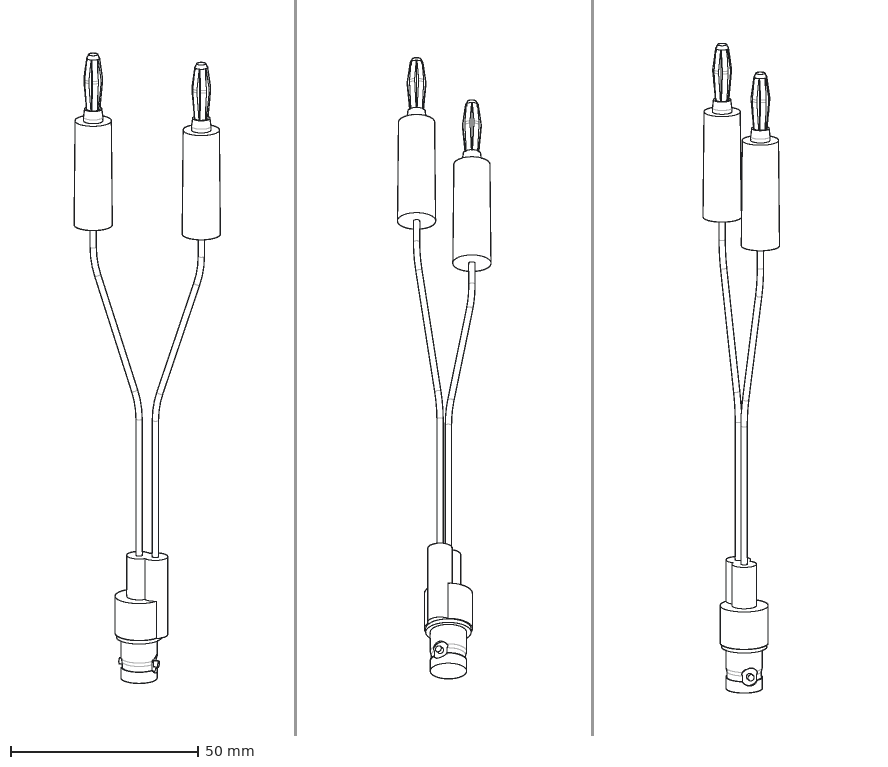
import cadquery as cq
import math

connector_top = 34.5
sleeve_bottom = 126.0
sleeve_top = 155.3
plug_top = 173.9

plug_offset = 15.0
wire_offset = 2.3

barrel_diameter = 9.7
barrel_height = 11.5
groove_depth = 0.26
groove_bottom = 3.1
groove_floor_top = 4.7
groove_top = 5.7
flange_diameter = 12.2
body_diameter = 12.9
body_bottom = 12.5
body_top = 23.0
boot_diameter = 6.6

stud_diameter = 1.7
stud_span = 10.8
stud_height = 4.3
spot_face_diameter = 4.9
spot_face_span = 8.3

wire_diameter = 1.7
upper_corner = 115.8
lower_corner = 76.7
bend_tangent = 4.0

sleeve_bottom_diameter = 10.3
sleeve_top_diameter = 9.7

collar_diameter = 5.2
collar_rim_height = 1.0
shoulder_diameter = 4.7
leaf_bottom = 158.6
leaf_top = 172.9
ridge_bottom = 166.5
ridge_top = 167.1
leaf_bottom_diameter = 3.7
leaf_top_diameter = 3.5
ridge_diameter = 5.0
tip_diameter = 2.5
core_diameter = 2.8
leaf_width = 1.5
leaf_count = 6


def revolve_profile(points):
    """Solid of revolution about Z from (radius, height) points."""
    return cq.Workplane("XZ").polyline(points).close().revolve(360, (0, 0), (0, 1))


def cylinder(diameter, bottom, top):
    return cq.Workplane("XY").workplane(offset=bottom).circle(diameter / 2).extrude(top - bottom)


def x_cylinder(diameter, start, end, height):
    """Cylinder along X at the given height."""
    start_plane = cq.Workplane("YZ", origin=(start, 0, height))
    return start_plane.circle(diameter / 2).extrude(end - start)


def make_barrel():
    radius = barrel_diameter / 2
    groove_radius = radius - groove_depth
    barrel = revolve_profile([
        (0, 0),
        (radius, 0),
        (radius, groove_bottom),
        (groove_radius, groove_bottom),
        (groove_radius, groove_floor_top),
        (radius, groove_top),
        (radius, barrel_height),
        (0, barrel_height),
    ])
    for side in (-1, 1):
        face_x = side * spot_face_span / 2
        stud_end = side * stud_span / 2
        barrel = barrel.cut(x_cylinder(spot_face_diameter, face_x, stud_end, stud_height))
    return barrel.union(x_cylinder(stud_diameter, -stud_span / 2, stud_span / 2, stud_height))


def make_connector():
    """The barrel, flange and body share the axis of the left wire; the boot wraps both wires."""
    flange = cylinder(flange_diameter, barrel_height, body_bottom)
    body = cylinder(body_diameter, body_bottom, body_top)
    connector = make_barrel().union(flange).union(body).translate((-wire_offset, 0, 0))
    for side in (-1, 1):
        boot = cylinder(boot_diameter, body_bottom, connector_top)
        connector = connector.union(boot.translate((side * wire_offset, 0, 0)))
    return connector


def make_wire(side):
    """Round wire swept from the boot, through two equal bends, to the plug sleeve."""
    lean = math.atan2(plug_offset - wire_offset, upper_corner - lower_corner)
    bend_x = bend_tangent * math.sin(lean)
    bend_z = bend_tangent * math.cos(lean)
    path = (
        cq.Workplane("XZ")
        .moveTo(side * wire_offset, connector_top)
        .lineTo(side * wire_offset, lower_corner - bend_tangent)
        .tangentArcPoint((side * (wire_offset + bend_x), lower_corner + bend_z), relative=False)
        .lineTo(side * (plug_offset - bend_x), upper_corner - bend_z)
        .tangentArcPoint((side * plug_offset, upper_corner + bend_tangent), relative=False)
        .lineTo(side * plug_offset, sleeve_bottom)
    )
    start = cq.Workplane("XY", origin=(side * wire_offset, 0, connector_top))
    return start.circle(wire_diameter / 2).sweep(path)


def make_sleeve(side):
    """Slightly tapered grip, wider at the wire end."""
    sleeve = revolve_profile([
        (0, sleeve_bottom),
        (sleeve_bottom_diameter / 2, sleeve_bottom),
        (sleeve_top_diameter / 2, sleeve_top),
        (0, sleeve_top),
    ])
    return sleeve.translate((side * plug_offset, 0, 0))


def make_leaves():
    """Spring leaves of constant width cut from a bowed solid of revolution."""
    bow = revolve_profile([
        (0, leaf_bottom),
        (leaf_bottom_diameter / 2, leaf_bottom),
        (ridge_diameter / 2, ridge_bottom),
        (ridge_diameter / 2, ridge_top),
        (leaf_top_diameter / 2, leaf_top),
        (0, leaf_top),
    ])
    strip = (
        cq.Workplane("XY")
        .workplane(offset=leaf_bottom)
        .rect(ridge_diameter, leaf_width)
        .extrude(leaf_top - leaf_bottom)
    )
    leaves = cylinder(core_diameter, leaf_bottom, leaf_top)
    for index in range(leaf_count // 2):
        angle = index * 360 / leaf_count
        leaves = leaves.union(bow.intersect(strip.rotate((0, 0, 0), (0, 0, 1), angle)))
    return leaves


def make_plug(side):
    rim_top = sleeve_top + collar_rim_height
    collar = revolve_profile([
        (0, sleeve_top),
        (collar_diameter / 2, sleeve_top),
        (collar_diameter / 2, rim_top),
        (shoulder_diameter / 2, leaf_bottom),
        (0, leaf_bottom),
    ])
    tip = revolve_profile([
        (0, leaf_top),
        (leaf_top_diameter / 2, leaf_top),
        (tip_diameter / 2, plug_top),
        (0, plug_top),
    ])
    plug = collar.union(make_leaves()).union(tip)
    return plug.translate((side * plug_offset, 0, 0))


bodies = [make_connector().val()]
for branch_side in (-1, 1):
    bodies.append(make_wire(branch_side).val())
    bodies.append(make_sleeve(branch_side).val())
    bodies.append(make_plug(branch_side).val())

result = cq.Compound.makeCompound(bodies)